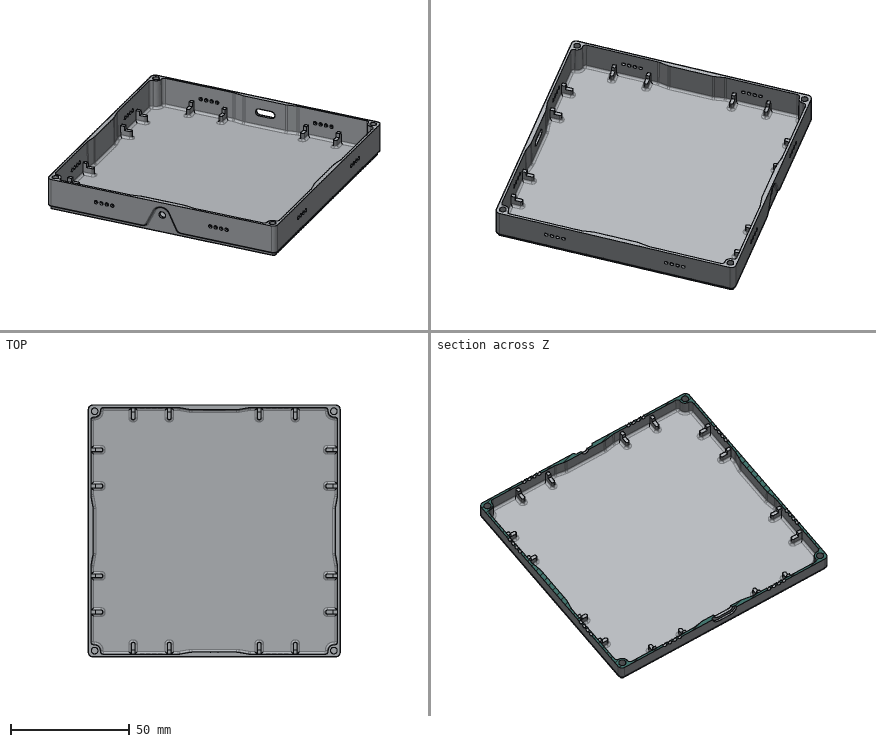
import cadquery as cq
import math

tolerance = 1e-3

side = 106.6
height = 14.4
corner_radius = 2.0
half_side = side / 2

step_inset = 1.0
step_height = 1.5
step_rounding = 0.45
foot_corner_radius = corner_radius - step_inset
foot_half_side = half_side - step_inset

draft_angle = 1.0
wall = 1.1
floor = 1.4
floor_fillet = 1.0
cavity_depth = height - floor
room_half_side = half_side - wall

screw_diameter = 2.8
screw_offset = half_side - 2.7
boss_radius = 2.4
boss_blend = 1.4
boss_face = screw_offset - boss_radius

pad_wall = 2.0
pad_half_length = 9.9
pad_foot_half_length = 14.9
pad_blend = 5.0

group_offset = side / 4
support_offset = 7.65
support_width = 1.7
support_corner = 0.7
shelf_reach = 6.2
shelf_top = 4.7
stop_reach = 3.1
stop_top = 6.6

opening_height = 8.1
vent_diameter = 1.5
vent_pitch = 2.54
vent_count = 4
wall_hole_diameter = 3.0
slot_length = 9.0
slot_height = 3.2
slot_wall = 1.1
relief_margin = 1.5

bell_radius = 3.85
bell_slope = math.radians(26)
bell_foot_radius = 2.5


def around_axis(body):
    """The four copies of a body, one for each wall or corner."""
    return [body.rotate((0, 0, 0), (0, 0, 1), angle) for angle in (0, 90, 180, 270)]


def rounded_block(size, radius, bottom):
    """Square block with rounded corners, from the bottom level up to the rim."""
    block = cq.Workplane("XY").workplane(offset=bottom).rect(size, size).extrude(height - bottom)
    return block.edges("|Z").fillet(radius)


def bell_prism():
    """Bell outline cut into the -Y wall; each flank is tangent to the crown and to a foot arc."""
    cosine = math.cos(bell_slope)
    sine = math.sin(bell_slope)
    foot_height = step_height + bell_foot_radius
    rise = opening_height - foot_height
    foot_x = (bell_radius + bell_foot_radius + rise * sine) / cosine

    def foot_point(angle):
        x = foot_x - bell_foot_radius * math.cos(angle)
        return (x, foot_height - bell_foot_radius * math.sin(angle))

    def mirrored(point):
        return (-point[0], point[1])

    crown_top = (0, opening_height + bell_radius)
    crown_end = (bell_radius * cosine, opening_height + bell_radius * sine)
    flank_end = foot_point(bell_slope)
    foot_middle = foot_point((bell_slope + math.pi / 2) / 2)
    foot_end = (foot_x, step_height)
    outline = (
        cq.Workplane("XZ", origin=(0, -half_side, 0))
        .moveTo(*mirrored(foot_end))
        .threePointArc(mirrored(foot_middle), mirrored(flank_end))
        .lineTo(*mirrored(crown_end))
        .threePointArc(crown_top, crown_end)
        .lineTo(*flank_end)
        .threePointArc(foot_middle, foot_end)
        .lineTo(foot_x, 0)
        .lineTo(-foot_x, 0)
        .close()
    )
    return outline.extrude(-step_inset)


def is_inner_step_edge(edge):
    """True for the front edges where the step meets the foot and the recessed bell face."""
    box = edge.BoundingBox()
    on_face = abs(box.ymin + foot_half_side) < tolerance and abs(box.ymax + foot_half_side) < tolerance
    return on_face and box.zmin > step_height - tolerance


def outer_body():
    upper = rounded_block(side, corner_radius, step_height).cut(bell_prism())
    upper = upper.faces("<Y").edges("<Z").fillet(step_rounding)
    body = upper.union(rounded_block(2 * foot_half_side, foot_corner_radius, 0))
    return body.edges().filter(is_inner_step_edge).fillet(step_rounding)


def wall_pad():
    """Trapezoid that thickens the middle of the -Y wall."""
    return (
        cq.Workplane("XY")
        .polyline([
            (-pad_foot_half_length, wall - half_side),
            (-pad_half_length, pad_wall - half_side),
            (pad_half_length, pad_wall - half_side),
            (pad_foot_half_length, wall - half_side),
            (pad_foot_half_length, -half_side),
            (-pad_foot_half_length, -half_side),
        ])
        .close()
        .extrude(height)
    )


def corner_boss():
    """Boss filling one corner, round around the screw hole."""
    length = half_side - boss_face
    boss = cq.Workplane("XY").box(length, length, height, centered=False)
    boss = boss.edges("|Z and <X and <Y").fillet(boss_radius)
    return boss.translate((boss_face, boss_face, 0))


def is_pad_edge(edge):
    center = edge.Center()
    return min(abs(center.x), abs(center.y)) < pad_foot_half_length + tolerance


def is_boss_foot_edge(edge):
    """True for the upright edges where a boss meets a wall."""
    center = edge.Center()
    near, far = sorted((abs(center.x), abs(center.y)))
    return abs(near - boss_face) < tolerance and abs(far - room_half_side) < tolerance


def drafted_room():
    """Cavity without the supports, narrowing from the rim to the floor."""
    room = cq.Workplane("XY").rect(2 * room_half_side, 2 * room_half_side).extrude(height)
    for pad in around_axis(wall_pad()):
        room = room.cut(pad)
    room = room.edges("|Z").filter(is_pad_edge).fillet(pad_blend)
    for boss in around_axis(corner_boss()):
        room = room.cut(boss)
    room = room.edges("|Z").filter(is_boss_foot_edge).fillet(boss_blend)
    rim = room.faces(">Z").wires()
    return rim.toPending().extrude(-cavity_depth, taper=draft_angle, combine=False)


def shelf_rib():
    """Low rib of a support, running from the -Y side inwards, with a rounded end."""
    outline = cq.Sketch().rect(support_width, 2 * shelf_reach).vertices().fillet(support_corner)
    base = cq.Workplane("XY", origin=(0, -half_side, floor)).placeSketch(outline)
    return base.extrude(shelf_top - floor, taper=draft_angle)


def board_supports():
    """The four supports along the -Y wall."""
    stop = cq.Workplane("XY", origin=(0, -half_side, floor)).rect(support_width, 2 * stop_reach)
    support = shelf_rib().union(stop.extrude(stop_top - floor, taper=draft_angle))
    return [
        support.translate((group + shift, 0, 0))
        for group in (-group_offset, group_offset)
        for shift in (-support_offset, support_offset)
    ]


def cavity():
    room = drafted_room()
    for support in board_supports():
        for copy in around_axis(support):
            room = room.cut(copy)
    return room.faces("<Z").edges().fillet(floor_fillet)


def vents():
    """Rows of small holes through all four walls."""
    first = -(vent_count - 1) / 2 * vent_pitch
    positions = [
        (group + first + index * vent_pitch, 0)
        for group in (-group_offset, group_offset)
        for index in range(vent_count)
    ]
    plane = cq.Workplane("XZ", origin=(0, 0, opening_height)).pushPoints(positions)
    rows = plane.circle(vent_diameter / 2).extrude(half_side, both=True)
    return rows.union(rows.rotate((0, 0, 0), (0, 0, 1), 90))


def wall_hole():
    """Round hole through the -Y wall."""
    plane = cq.Workplane("XZ", origin=(0, 0, opening_height))
    return plane.circle(wall_hole_diameter / 2).extrude(half_side)


def connector_slot():
    """Slot through the +Y wall, relieved from outside so that only a thin wall is left around it."""
    relief_depth = pad_wall - slot_wall
    plane = cq.Workplane("XZ", origin=(0, half_side, opening_height))
    slot = plane.slot2D(slot_length, slot_height).extrude(half_side)
    relief = plane.slot2D(slot_length + 2 * relief_margin, slot_height + 2 * relief_margin)
    return slot.union(relief.extrude(relief_depth))


def screw_holes():
    """Blind holes down to floor level in the four bosses."""
    plane = cq.Workplane("XY", origin=(0, 0, floor))
    corners = plane.rect(2 * screw_offset, 2 * screw_offset, forConstruction=True)
    return corners.vertices().circle(screw_diameter / 2).extrude(cavity_depth)


result = outer_body().cut(cavity()).cut(vents()).cut(wall_hole()).cut(connector_slot()).cut(screw_holes())